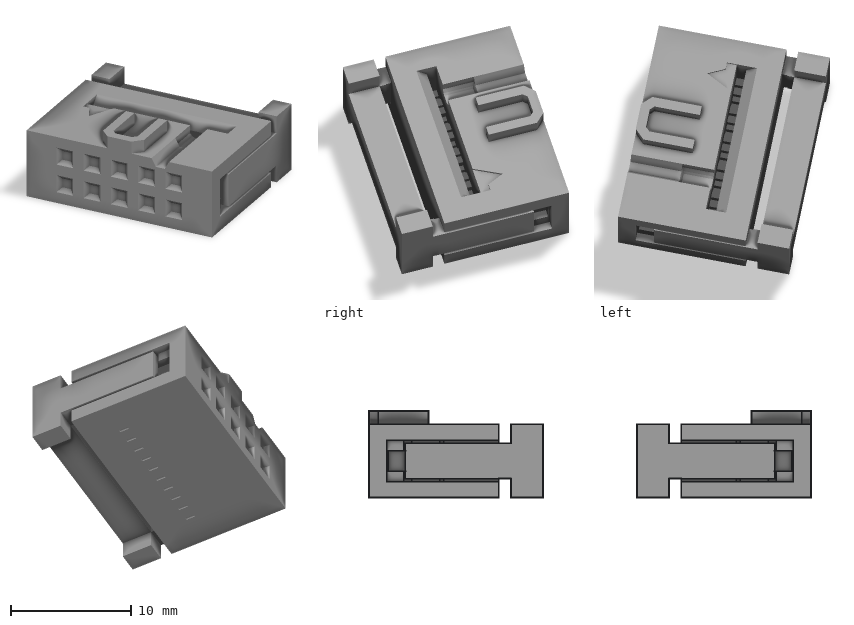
import cadquery as cq

body_width = 17.3
body_depth = 10.81
body_height = 6.09
mid_height = body_height / 2

pitch = 2.55
columns = 5
rows = 2
socket_mouth = 1.55
socket_floor = 0.81
socket_depth = (socket_mouth - socket_floor) / 2

key_width = 3.84
key_length = 4.98
key_height = 1.1
key_wall = 0.8
key_inner_bevel = 0.35

slot_width = 13.08
slot_front = 7.02
well_length = 0.81
slot_slant = 0.9
well_back = slot_front + well_length
slot_back = well_back + slot_slant
well_floor = 2.08

contact_pitch = pitch / 2
contact_count = columns * rows
contact_width = 1.45
contact_gap = 0.2
high_contact_top = 3.11
low_contact_top = 2.6

channel_x = 3.82
channel_top_width = 1.63
channel_floor_width = 0.83
channel_drop = 0.73
pocket_front = 4.32
pocket_bevel = 0.25
pocket_curve_run = 0.19
pocket_curve_drop = 0.1
pocket_end_run = 0.19
pocket_drop = channel_drop + pocket_bevel + pocket_curve_drop

mark_depth = 0.15
mark_tip_x = -5.28
mark_tip_y = 4.77
mark_half_width = 1.18
mark_shoulder_x = -5.95
mark_shoulder_y = 6.2

recess_front = 1.49
recess_height = 3.46
deep_cut = 1.66
middle_cut = 1.35
shallow_cut = 0.67
shallow_end = 2.9
ramp_end = shallow_end + middle_cut - shallow_cut
step_start = 5.92
window_front = 1.63
window_height = 1.7

clip_front = 11.82
clip_back = 14.5
ear_width = 1.71
arm_shoulder = 11.23
arm_front = 3.05
arm_height = 2.94

left_end = -body_width / 2
latch_steps = [
    (left_end + middle_cut, ramp_end),
    (left_end + middle_cut, step_start),
    (left_end + deep_cut, step_start + deep_cut - middle_cut),
]


def box(x_range, y_range, z_range):
    """Axis-aligned block between the given limits."""
    size = [high - low for low, high in (x_range, y_range, z_range)]
    corner = (x_range[0], y_range[0], z_range[0])
    return cq.Workplane("XY").box(*size, centered=False).translate(corner)


def around_mid_height(height):
    return (mid_height - height / 2, mid_height + height / 2)


def both_ends(left):
    """The given left-hand shape together with its mirror image."""
    return left.union(left.mirror("YZ"))


def make_key():
    outer = key_width / 2
    inner = outer - key_wall
    outline = [
        (-outer, key_length), (-outer, key_wall), (-outer + key_wall, 0),
        (outer - key_wall, 0), (outer, key_wall), (outer, key_length),
        (inner, key_length), (inner, key_wall + key_inner_bevel), (inner - key_inner_bevel, key_wall),
        (-inner + key_inner_bevel, key_wall), (-inner, key_wall + key_inner_bevel), (-inner, key_length),
    ]
    return cq.Workplane("XY", origin=(0, 0, body_height)).polyline(outline).close().extrude(key_height)


def make_sockets():
    """Tapered square lead-ins of all the pin sockets."""
    centres = [
        ((column - (columns - 1) / 2) * pitch, mid_height + (row - (rows - 1) / 2) * pitch)
        for column in range(columns)
        for row in range(rows)
    ]
    sockets = cq.Workplane("XZ")
    for x, z in centres:
        lead_in = (
            cq.Workplane("XZ", origin=(x, 0, z)).rect(socket_mouth, socket_mouth)
            .workplane(offset=-socket_depth).rect(socket_floor, socket_floor).loft()
        )
        sockets = sockets.add(lead_in)
    return sockets.combine()


def make_cable_slot():
    profile = [
        (slot_front, body_height), (slot_back, body_height),
        (well_back, body_height - slot_slant), (well_back, well_floor), (slot_front, well_floor),
    ]
    return (
        cq.Workplane("YZ", origin=(-slot_width / 2, 0, 0)).polyline(profile).close().extrude(slot_width)
    )


def make_guide_channel():
    """Trapezoid channel at the front with a deeper pocket behind it."""
    top = channel_top_width / 2
    floor = channel_floor_width / 2
    channel_profile = [
        (-top, body_height), (top, body_height),
        (floor, body_height - channel_drop), (-floor, body_height - channel_drop),
    ]
    bevel = top - pocket_bevel
    curve = bevel - pocket_curve_run
    wall_foot = body_height - channel_drop
    bevel_foot = wall_foot - pocket_bevel
    pocket_floor = body_height - pocket_drop
    pocket_profile = [
        (-top, body_height), (top, body_height), (top, wall_foot), (bevel, bevel_foot),
        (curve, pocket_floor), (-curve, pocket_floor), (-bevel, bevel_foot), (-top, wall_foot),
    ]
    front_plane = cq.Workplane("XZ", origin=(channel_x, 0, 0))
    channel = front_plane.polyline(channel_profile).close().extrude(-slot_front)
    pocket_plane = cq.Workplane("XZ", origin=(channel_x, pocket_front, 0))
    pocket = pocket_plane.polyline(pocket_profile).close().extrude(pocket_front - slot_front)
    end_slope = (
        cq.Workplane("YZ", origin=(channel_x - top, 0, 0))
        .polyline([
            (pocket_front, wall_foot), (pocket_front + pocket_end_run, pocket_floor),
            (pocket_front, pocket_floor),
        ])
        .close().extrude(channel_top_width)
    )
    return channel.union(pocket.cut(end_slope))


def make_pin_one_mark():
    outline = [
        (-slot_width / 2, slot_front), (-slot_width / 2, mark_shoulder_y),
        (mark_shoulder_x, mark_shoulder_y), (mark_tip_x, mark_tip_y),
        (mark_tip_x + mark_half_width, slot_front),
    ]
    return cq.Workplane("XY", origin=(0, 0, body_height)).polyline(outline).close().extrude(-mark_depth)


def make_latch_recesses():
    """Stepped recesses in both ends, deepest toward the back and open there."""
    profile = [
        (left_end, recess_front),
        (left_end + shallow_cut, recess_front),
        (left_end + shallow_cut, shallow_end),
        *latch_steps,
        (left_end + deep_cut, body_depth),
        (left_end, body_depth),
    ]
    bottom, _ = around_mid_height(recess_height)
    recess = cq.Workplane("XY", origin=(0, 0, bottom)).polyline(profile).close().extrude(recess_height)
    window = box(
        (left_end, left_end + middle_cut), (window_front, ramp_end), around_mid_height(window_height)
    )
    return both_ends(recess.union(window))


def make_contacts():
    """Contacts of alternating height; every other one overlaps its neighbours."""
    contacts = cq.Workplane("XY")
    gaps = cq.Workplane("XY")
    for index in range(contact_count):
        x = (index - (contact_count - 1) / 2) * contact_pitch
        top = high_contact_top if index % 2 == 0 else low_contact_top
        half_width = contact_width / 2
        half_gap = contact_gap / 2
        contacts = contacts.add(
            box((x - half_width, x + half_width), (slot_front, well_back), (well_floor, top))
        )
        gaps = gaps.add(box((x - half_gap, x + half_gap), (slot_front, well_back), (0, high_contact_top)))
    return contacts.combine(), gaps.combine()


def make_clip():
    """Clip whose arms follow the stepped floor of the latch recesses."""
    ear = box((left_end, left_end + ear_width), (clip_front, clip_back), (0, body_height))
    arm_z = around_mid_height(arm_height)
    arm_profile = [
        (left_end, arm_front),
        (left_end + shallow_cut + arm_front - shallow_end, arm_front),
        *latch_steps,
        (left_end + deep_cut, clip_front),
        (left_end, clip_front),
    ]
    arm_plane = cq.Workplane("XY", origin=(0, 0, mid_height))
    arm = arm_plane.polyline(arm_profile).close().extrude(arm_height / 2, both=True)
    shoulder = box((left_end, left_end + ear_width), (arm_shoulder, clip_front), arm_z)
    cross_bar = box((left_end, -left_end), (clip_front, clip_back), arm_z)
    return cross_bar.union(both_ends(ear.union(arm).union(shoulder)))


contacts, contact_gaps = make_contacts()

body = box((left_end, -left_end), (0, body_depth), (0, body_height))
body = body.cut(make_sockets()).cut(make_cable_slot()).cut(make_guide_channel())
body = body.cut(make_pin_one_mark()).cut(make_latch_recesses())
body = body.union(contacts).cut(contact_gaps)

result = body.union(make_key()).union(make_clip())